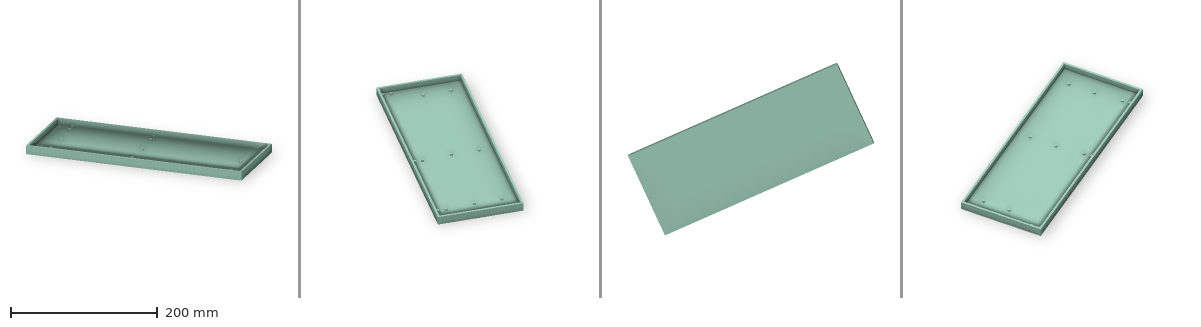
import cadquery as cq

length = 312.0
width = 121.0
height = 12.5
wall = 3.0
floor = 3.0

peg_diameter = 4.0
peg_height = 3.0
peg_embed = floor / 2

rear_columns = (-130.5, -12.8, 147.5)
rear_rows = (42.0, 53.7)
front_columns = (-127.5, -10.0, 132.5)
front_rows = (-38.0, 1.0)


def make_tray():
    """Open-topped rectangular tray with its underside at Z = 0."""
    block = cq.Workplane("XY").box(length, width, height, centered=(True, True, False))
    cavity = (
        cq.Workplane("XY")
        .workplane(offset=floor)
        .rect(length - 2 * wall, width - 2 * wall)
        .extrude(height - floor)
    )
    return block.cut(cavity)


def make_pegs(columns, rows):
    """One round peg at each crossing of the columns and rows."""
    return (
        cq.Workplane("XY")
        .workplane(offset=floor - peg_embed)
        .pushPoints([(x, y) for x in columns for y in rows])
        .circle(peg_diameter / 2)
        .extrude(peg_embed + peg_height)
    )


result = make_tray()
for columns, rows in ((rear_columns, rear_rows), (front_columns, front_rows)):
    result = result.union(make_pegs(columns, rows))